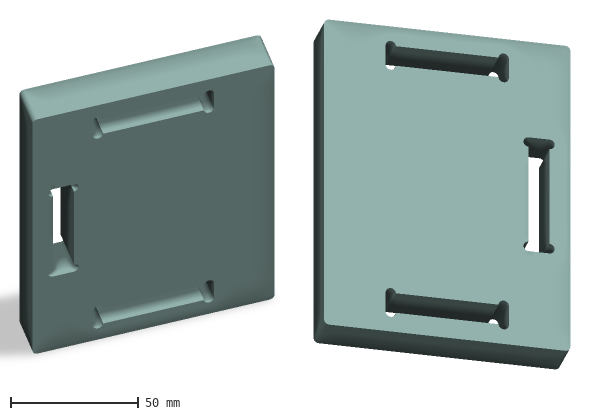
import cadquery as cq

thickness = 17.0
width = 100.0
height = 134.0
corner_radius = 2.1

slot_length = 50.0
slot_width = 8.6
relief_diameter = 4.2
relief_length = 12.6
edge_to_slot_center = 12.7

upper_slot_z = height / 2 - edge_to_slot_center
side_slot_y = -(width / 2 - edge_to_slot_center)


def slot_cutter(y, z, angle):
    """Through cutter centered at (y, z); at angle 0 its long side runs along Y."""
    relief_offset = (slot_length - relief_diameter) / 2
    body = cq.Workplane("YZ").rect(2 * relief_offset, slot_width).extrude(thickness / 2, both=True)
    reliefs = (
        cq.Workplane("YZ")
        .pushPoints([(-relief_offset, 0), (relief_offset, 0)])
        .slot2D(relief_length, relief_diameter, 90)
        .extrude(thickness / 2, both=True)
    )
    return body.union(reliefs).rotate((0, 0, 0), (1, 0, 0), angle).translate((0, y, z))


result = cq.Workplane("XY").box(thickness, width, height).edges("|X").fillet(corner_radius)

for y, z, angle in [(0, upper_slot_z, 0), (0, -upper_slot_z, 0), (side_slot_y, 0, 90)]:
    result = result.cut(slot_cutter(y, z, angle))